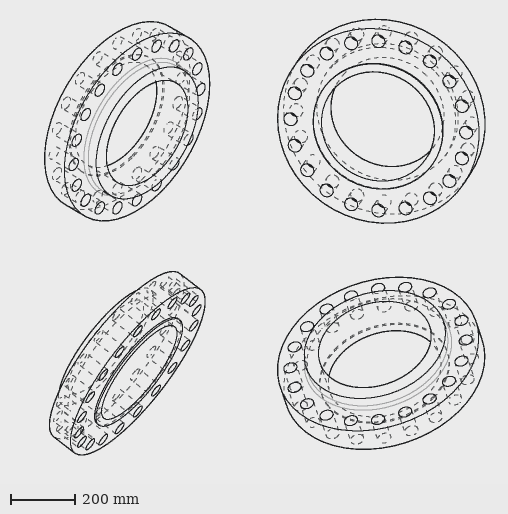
import cadquery as cq

outer_diameter = 641.5
overall_length = 136.5
bore_diameter = 359.0

face_diameter = 412.5
face_height = 6.0

disc_thickness = 86.5
hub_diameter = 450.0
hub_length = overall_length - face_height - disc_thickness
hub_fillet = 9.5

bolt_count = 20
bolt_circle_diameter = 558.5
bolt_hole_diameter = 42.0


def cylinder(start_x, length, diameter):
    """Solid cylinder along +X from start_x."""
    return cq.Workplane("YZ", origin=(start_x, 0, 0)).circle(diameter / 2).extrude(length)


hub_start = face_height + disc_thickness
disc = cylinder(face_height, disc_thickness, outer_diameter)
hub = cylinder(hub_start, hub_length, hub_diameter)
root_reach = hub_diameter / 2 + hub_fillet
root_blend = (
    cq.Workplane("XY")
    .moveTo(hub_start, 0)
    .lineTo(hub_start, root_reach)
    .radiusArc((hub_start + hub_fillet, hub_diameter / 2), -hub_fillet)
    .lineTo(hub_start + hub_fillet, 0)
    .close()
    .revolve(360, (0, 0, 0), (1, 0, 0))
)

raised_face = cylinder(0, face_height, face_diameter)
body = disc.union(hub).union(root_blend).union(raised_face)

bore = cylinder(0, overall_length, bore_diameter)
bolt_holes = (
    cq.Workplane("YZ")
    .polarArray(bolt_circle_diameter / 2, 0, 360, bolt_count)
    .circle(bolt_hole_diameter / 2)
    .extrude(overall_length)
)
result = body.cut(bore).cut(bolt_holes)